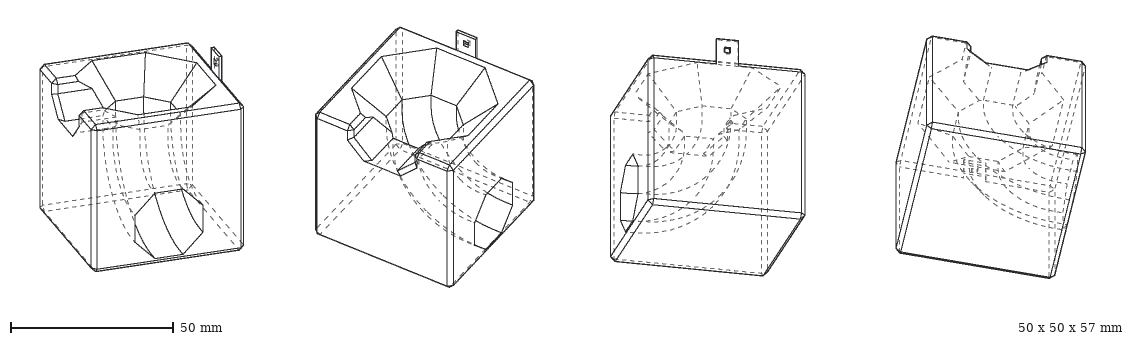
import cadquery as cq
import math

side = 50.0
total_height = 57.0
chamfer = 1.5
half_side = side / 2

tab_width = total_height - side
tab_thickness = 1.0
tab_hole = 1.75

bowl_flats = 42.3
duct_flats = 22.25
bowl_depth = (bowl_flats - duct_flats) / 2
bend_start_depth = 14.5
bend_radius = duct_flats


def octagon_points(flats):
    """Corners of an octagon with flats square to the axes."""
    radius = flats / 2 / math.cos(math.pi / 8)
    angles = [math.pi / 8 + i * math.pi / 4 for i in range(8)]
    return [(radius * math.cos(a), radius * math.sin(a)) for a in angles]


def make_block():
    cube = cq.Workplane("XY").box(side, side, side, centered=(True, True, False))
    return cube.edges().chamfer(chamfer)


def make_tab():
    height = tab_width + chamfer
    plate = cq.Workplane("XY").box(tab_width, tab_thickness, height, centered=(True, False, False))
    plate = plate.translate((0, half_side - tab_thickness, side - chamfer))
    hole = cq.Workplane("XY").box(tab_hole, side, tab_hole)
    return plate.cut(hole.translate((0, half_side, side + tab_width / 2)))


def make_bowl():
    return (
        cq.Workplane("XY", origin=(0, 0, side))
        .polyline(octagon_points(bowl_flats)).close()
        .workplane(offset=-bowl_depth)
        .polyline(octagon_points(duct_flats)).close()
        .loft(ruled=True)
    )


def make_duct():
    """Passage straight down from the bowl, then a quarter bend out through +X."""
    profile = octagon_points(duct_flats)
    bend_z = side - bend_start_depth
    drop = (
        cq.Workplane("XY", origin=(0, 0, bend_z))
        .polyline(profile).close()
        .extrude(bend_start_depth - bowl_depth)
    )
    bend = (
        cq.Workplane("XY", origin=(0, 0, bend_z))
        .polyline(profile).close()
        .revolve(90, (bend_radius, 0), (bend_radius, -1))
    )
    outlet = (
        cq.Workplane("YZ", origin=(bend_radius, 0, bend_z - bend_radius))
        .polyline(profile).close()
        .extrude(half_side - bend_radius)
    )
    return drop.union(bend).union(outlet)


def make_channel():
    """Half-octagon channel from the bowl to the front, with chamfered rims."""
    channel = (
        cq.Workplane("XZ", origin=(0, 0, side))
        .polyline(octagon_points(duct_flats)).close()
        .extrude(half_side)
    )
    wall = duct_flats / 2
    rim = wall + chamfer
    top_bevel = (
        cq.Workplane("XZ", origin=(0, 0, side))
        .polyline([(-rim, 0), (rim, 0), (wall, -chamfer), (-wall, -chamfer)]).close()
        .extrude(half_side)
    )
    mouth = (
        cq.Workplane("XZ", origin=(0, -half_side, side))
        .polyline(octagon_points(duct_flats + 2 * chamfer)).close()
        .workplane(offset=-chamfer)
        .polyline(octagon_points(duct_flats)).close()
        .loft(ruled=True)
    )
    above_floor = cq.Workplane("XY").box(side, 2 * side, duct_flats).translate((0, 0, side))
    return channel.union(top_bevel).union(mouth.intersect(above_floor))


def make_mouth_corner(sign):
    """Triangular facet where the three bevels meet at one upper corner of the mouth."""
    inner_x = sign * duct_flats / 2
    outer_x = sign * (duct_flats / 2 + chamfer)
    back_y = chamfer - half_side
    low_z = side - chamfer
    triangle = cq.Wire.makePolygon(
        [
            cq.Vector(outer_x, back_y, side),
            cq.Vector(outer_x, -half_side, low_z),
            cq.Vector(inner_x, back_y, low_z),
        ],
        close=True,
    )
    outward = cq.Vector(-sign * chamfer, -chamfer, chamfer)
    return cq.Workplane(cq.Solid.extrudeLinear(triangle, [], outward))


result = make_block().union(make_tab())
cavities = [make_bowl(), make_duct(), make_channel(), make_mouth_corner(-1), make_mouth_corner(1)]
for cavity in cavities:
    result = result.cut(cavity)